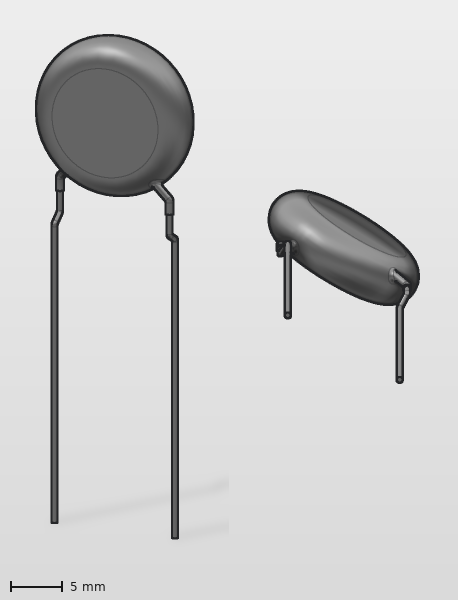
import cadquery as cq
import math

body_diameter = 16.0
body_thickness = 5.0
overall_height = 50.0

coating_diameter = 0.8
wire_diameter = 0.6
lead_spacing = 12.5
lead_offset = 1.4
bend_clearance = 0.05
coating_end_z = -8.75

lean_angle = math.radians(45)
lean_bend_z = -7.35
lean_length = 3.5
root_fillet = 0.4
root_search_size = 2.5

crank_top_z = -10.95
crank_angle = math.radians(30)

body_radius = body_diameter / 2
rim_radius = body_thickness / 2
face_radius = body_radius - rim_radius
tip_z = body_radius - overall_height
crank_bottom_z = crank_top_z - lead_offset * math.tan(crank_angle)


def make_body():
    """Disc with flat faces and a full-round rim."""
    return (
        cq.Workplane("YZ")
        .moveTo(-rim_radius, 0)
        .lineTo(-rim_radius, face_radius)
        .threePointArc((0, body_radius), (rim_radius, face_radius))
        .lineTo(rim_radius, 0)
        .close()
        .revolve(360, (0, 0, 0), (1, 0, 0))
    )


def make_rod(corners, diameter):
    """Round rod along straight runs, with a tangent arc at each inner corner."""
    bend_radius = diameter / 2 + bend_clearance
    edges = []
    run_start = corners[0]
    for before, corner, after in zip(corners, corners[1:], corners[2:]):
        back = (before - corner).normalized()
        ahead = (after - corner).normalized()
        half_angle = back.getAngle(ahead) / 2
        trim = bend_radius / math.tan(half_angle)
        arc_depth = bend_radius / math.sin(half_angle) - bend_radius
        arc_start = corner + back * trim
        arc_middle = corner + (back + ahead).normalized() * arc_depth
        arc_end = corner + ahead * trim
        edges.append(cq.Edge.makeLine(run_start, arc_start))
        edges.append(cq.Edge.makeThreePointArc(arc_start, arc_middle, arc_end))
        run_start = arc_end
    edges.append(cq.Edge.makeLine(run_start, corners[-1]))
    path = cq.Wire.assembleEdges(edges)
    start_plane = cq.Plane(origin=corners[0], normal=corners[1] - corners[0])
    return cq.Workplane(start_plane).circle(diameter / 2).sweep(cq.Workplane(path))


def make_lead():
    """The +X lead, which leaves the body on the -Y side of the mid-plane."""
    x = lead_spacing / 2
    y = -lead_offset
    coating_end = cq.Vector(x, y, coating_end_z)
    lean_bend = cq.Vector(x, y, lean_bend_z)
    lean_direction = cq.Vector(-math.sin(lean_angle), 0, math.cos(lean_angle))
    lean_end = lean_bend + lean_direction * lean_length

    coated = make_rod([coating_end, lean_bend, lean_end], coating_diameter)
    bare = make_rod(
        [
            coating_end,
            cq.Vector(x, y, crank_top_z),
            cq.Vector(x, 0, crank_bottom_z),
            cq.Vector(x, 0, tip_z),
        ],
        wire_diameter,
    )
    return coated.union(bare)


def root_edge_selector(side):
    """Selector for the edge where the lead at +X (side = 1) or -X (side = -1) enters the rim."""
    entry_radius = face_radius + math.sqrt(rim_radius**2 - lead_offset**2)
    entry_x = side * entry_radius * math.sin(lean_angle)
    entry_z = -entry_radius * math.cos(lean_angle)
    entry_y = -side * lead_offset
    half = root_search_size / 2
    return cq.selectors.BoxSelector(
        (entry_x - half, entry_y - half, entry_z - half),
        (entry_x + half, entry_y + half, entry_z + half),
        boundingbox=True,
    )


lead = make_lead()
opposite_lead = lead.rotate((0, 0, 0), (0, 0, 1), 180)
joined = make_body().union(lead, clean=False).union(opposite_lead, clean=False)
root_edges = root_edge_selector(1) + root_edge_selector(-1)
result = joined.edges(root_edges).fillet(root_fillet)